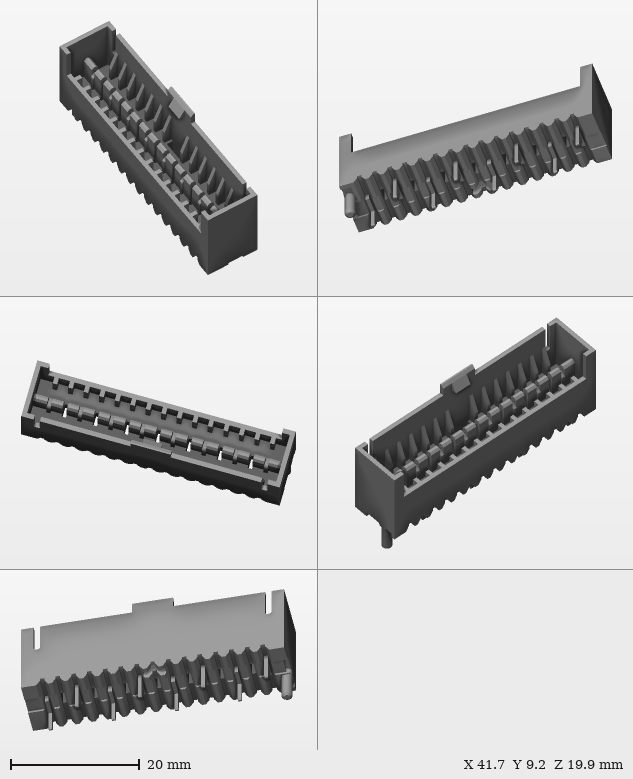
import cadquery as cq

LENGTH = 41.7
WIDTH = 9.2
HEIGHT = 13.5
WALL = 0.75
FLOOR_Z = 4.0
SILL_Z = 8.35
CORNER_RETURN = 2.0
BACK_FACE = WIDTH / 2
BACK_INNER = BACK_FACE - WALL
FRONT_INNER = -BACK_INNER
CAVITY_LENGTH = LENGTH - 2 * WALL
OPENING_HALF = LENGTH / 2 - CORNER_RETURN

RELIEF_WIDTH = 1.0
RELIEF_RADIUS = 0.38

PITCH = 2.5
OUTERMOST = 7
ALL_POSITIONS = range(-OUTERMOST, OUTERMOST + 1)
TERMINAL_POSITIONS = range(-OUTERMOST, OUTERMOST + 1, 2)
SLOT_WIDTH = 0.7
SLOT_LENGTH = 2.0

RIDGE_WIDTH = 1.15
RIDGE_TOP_Z = 8.3
RIDGE_CHAMFER = 0.38
RIB_WIDTH = 0.63
RIB_DEPTH = 1.3
RIB_TOP_Z = 9.55
RIB_SHOULDER_Z = 6.45
SILL_RIB_DEPTH = 1.05

LATCH_LENGTH = 6.5
LATCH_RISE = 2.0
LATCH_CHAMFER = 0.5
WEDGE_LENGTH = 3.0
WEDGE_DEPTH = 1.0
CORE_LENGTH = 3.6
CORE_DEPTH = 1.13

NOTCH_TOP_Z = 1.38
FLARE_TOP_Z = 0.9
FLARE_WIDTH = 1.88

CHANNEL_FRONT = -0.8
CHANNEL_BACK = 1.95
CHANNEL_TOP_Z = 0.38

RECESS_FRONT = -3.88
RECESS_TOP_Z = 0.88
RECESS_DEPTH = 0.25

PEG_RADIUS = 1.7 / 2
PEG_X = -LENGTH / 2 + PEG_RADIUS
PEG_Y = -1.88
PEG_TOP_Z = CHANNEL_TOP_Z
PEG_BOTTOM_Z = -4.38
PEG_CHAMFER = 0.38
BOSS_BOTTOM_RADIUS = 0.95
BOSS_TOP_RADIUS = 1.3

PIN_WIDTH = 0.6
PIN_DEPTH = 0.63
BACK_PIN_Y = 1.9
FRONT_PIN_Y = -1.9
PIN_BOTTOM_Z = -3.4
PIN_TIP = 0.2
LEG_BOTTOM_Z = 0.13
POST_FRONT = -0.8
POST_BACK = 0.9
POST_TOP_Z = 7.17
BASE_TOP_Z = 2.5
POST_BEVEL = 0.63


def block(x0, x1, y0, y1, z0, z1):
    """Box between two opposite corners."""
    return cq.Workplane("XY").box(x1 - x0, y1 - y0, z1 - z0, centered=False).translate((x0, y0, z0))


def bar(x_mid, x_length, y0, y1, z0, z1):
    """Box centred on a given X."""
    return block(x_mid - x_length / 2, x_mid + x_length / 2, y0, y1, z0, z1)


def side_prism(x_mid, x_length, points):
    """YZ outline extruded evenly about a given X."""
    outline = cq.Workplane("YZ").polyline(points).close()
    return outline.extrude(x_length / 2, both=True).translate((x_mid, 0, 0))


def make_shell():
    shell = bar(0, LENGTH, -BACK_FACE, BACK_FACE, 0, HEIGHT)
    shell = shell.cut(bar(0, CAVITY_LENGTH, FRONT_INNER, BACK_INNER, FLOOR_Z, HEIGHT))
    shell = shell.cut(bar(0, 2 * OPENING_HALF, -BACK_FACE, FRONT_INNER, SILL_Z, HEIGHT))
    for side in (-1, 1):
        x_mid = side * (OPENING_HALF - RELIEF_WIDTH / 2)
        slot = bar(x_mid, RELIEF_WIDTH, BACK_INNER, BACK_FACE, SILL_Z, HEIGHT)
        shell = shell.cut(slot.faces("<Z").edges("|Y").fillet(RELIEF_RADIUS))
    return shell


def make_ridge():
    ridge = bar(0, CAVITY_LENGTH, -RIDGE_WIDTH / 2, RIDGE_WIDTH / 2, FLOOR_Z, RIDGE_TOP_Z)
    return ridge.faces(">Z").edges("|X").chamfer(RIDGE_CHAMFER)


def make_back_rib(x):
    front = BACK_INNER - RIB_DEPTH
    return side_prism(x, RIB_WIDTH, [
        (BACK_INNER, FLOOR_Z),
        (front, FLOOR_Z),
        (front, RIB_SHOULDER_Z),
        (BACK_INNER, RIB_TOP_Z),
    ])


def make_sill_rib(x):
    return bar(x, SLOT_WIDTH, FRONT_INNER, FRONT_INNER + SILL_RIB_DEPTH, FLOOR_Z, SILL_Z)


def make_latch():
    latch_top = HEIGHT + LATCH_RISE
    shoulder_z = latch_top - LATCH_CHAMFER
    tab = side_prism(0, LATCH_LENGTH, [
        (BACK_FACE, HEIGHT),
        (BACK_INNER, HEIGHT),
        (BACK_INNER, shoulder_z),
        (BACK_INNER + LATCH_CHAMFER, latch_top),
        (BACK_FACE, latch_top),
    ])
    wedge = side_prism(0, WEDGE_LENGTH, [
        (BACK_INNER, HEIGHT),
        (BACK_INNER - WEDGE_DEPTH, HEIGHT),
        (BACK_INNER, shoulder_z),
    ])
    return tab.union(wedge)


def make_notch(x):
    straight = SLOT_WIDTH / 2
    flare = FLARE_WIDTH / 2
    outline = cq.Workplane("XZ").polyline([
        (-flare, 0),
        (-straight, FLARE_TOP_Z),
        (-straight, NOTCH_TOP_Z),
        (straight, NOTCH_TOP_Z),
        (straight, FLARE_TOP_Z),
        (flare, 0),
    ]).close()
    return outline.extrude(WIDTH / 2, both=True).translate((x, 0, 0))


def make_slot(x):
    return bar(x, SLOT_WIDTH, -SLOT_LENGTH / 2, SLOT_LENGTH / 2, 0, RIDGE_TOP_Z)


def make_channel():
    """Full-length channel with a taller mouth through the -X end wall."""
    end = -LENGTH / 2
    channel = bar(0, LENGTH, CHANNEL_FRONT, CHANNEL_BACK, 0, CHANNEL_TOP_Z)
    mouth = block(end, end + WALL, CHANNEL_FRONT, CHANNEL_BACK, 0, RECESS_TOP_Z)
    return channel.union(mouth)


def make_end_recess():
    end = -LENGTH / 2
    recess = block(end, end + RECESS_DEPTH, RECESS_FRONT, CHANNEL_BACK, 0, RECESS_TOP_Z)
    pocket_back = PEG_Y + PEG_RADIUS
    pocket = block(end, end + 2 * PEG_RADIUS, RECESS_FRONT, pocket_back, 0, PEG_TOP_Z)
    return recess.union(pocket)


def make_peg():
    """Peg under a conical boss that is cut flush with the end face."""
    peg = cq.Workplane("XY").circle(PEG_RADIUS).extrude(PEG_TOP_Z - PEG_BOTTOM_Z)
    peg = peg.faces("<Z").chamfer(PEG_CHAMFER).translate((PEG_X, PEG_Y, PEG_BOTTOM_Z))
    boss = cq.Workplane("XY").circle(BOSS_BOTTOM_RADIUS)
    boss = boss.workplane(offset=RECESS_TOP_Z - PEG_TOP_Z).circle(BOSS_TOP_RADIUS).loft()
    boss = boss.translate((PEG_X, PEG_Y, PEG_TOP_Z))
    return peg.union(boss).intersect(bar(0, LENGTH, -BACK_FACE, BACK_FACE, PEG_BOTTOM_Z, HEIGHT))


def make_terminal(x, pin_y):
    """Terminal whose leg runs from the post to a pin behind or in front of it."""
    pin_front = pin_y - PIN_DEPTH / 2
    pin_back = pin_y + PIN_DEPTH / 2
    leg_front = min(POST_FRONT, pin_front)
    leg_back = max(POST_BACK, pin_back)
    leg = bar(x, PIN_WIDTH, leg_front, leg_back, LEG_BOTTOM_Z, NOTCH_TOP_Z)
    pin = bar(x, PIN_WIDTH, pin_front, pin_back, PIN_BOTTOM_Z, NOTCH_TOP_Z)
    pin = pin.faces("<Z").edges("|X").chamfer(PIN_TIP)
    post = bar(x, PIN_WIDTH, POST_FRONT, POST_BACK, NOTCH_TOP_Z, POST_TOP_Z)
    post = post.faces("<Y").edges(">Z").chamfer(POST_BEVEL)
    post = post.faces(">Y").edges(">Z").fillet(POST_BEVEL)
    base = bar(x, SLOT_WIDTH, -SLOT_LENGTH / 2, SLOT_LENGTH / 2, NOTCH_TOP_Z, BASE_TOP_Z)
    return post.union(base).union(leg).union(pin)


result = make_shell().union(make_ridge()).union(make_latch())
for position in ALL_POSITIONS:
    contact_x = position * PITCH
    result = result.union(make_sill_rib(contact_x))
    result = result.cut(make_slot(contact_x)).cut(make_notch(contact_x))
    if position != 0:
        result = result.union(make_back_rib(contact_x))

result = result.cut(bar(0, CORE_LENGTH, BACK_INNER - CORE_DEPTH, BACK_INNER, 0, FLOOR_Z))
result = result.cut(make_channel()).cut(make_end_recess()).union(make_peg())
for index, position in enumerate(TERMINAL_POSITIONS):
    row_y = BACK_PIN_Y if index % 2 == 0 else FRONT_PIN_Y
    result = result.union(make_terminal(position * PITCH, row_y))